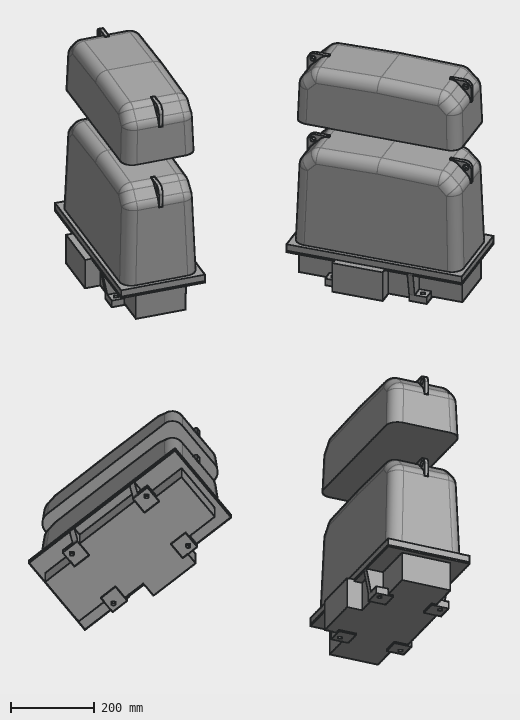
import cadquery as cq
import math

flange_length = 450.0
flange_depth = 215.0
foot_drop = 4.0
foot_top = 18.5
plate_bottom = 78.5
plate_top = 83.0
block_length = 420.0
block_depth = 127.5
middle_depth = 174.0
connector_left = -101.0
connector_length = 130.0
connector_reach = 18.5
foot_size = 45.0
foot_inner_x = 85.0
foot_outer_y = 95.5
foot_hole_diameter = 11.0
rib_thickness = 14.5

flange_top = 100.5
hood_half_length = 214.5
hood_half_depth = 97.0
end_taper = 1.85
side_taper = 2.0
ridge_height = 358.0
roof_slope = 1.4
bevel_inner_x = 169.5
edge_radius = 30.0
total_height = 580
upper_cover_lift = total_height - ridge_height
upper_cover_bottom = 209.5

lug_thickness = 10.0
lug_inner_x = 155.0
lug_outer_x = 210.5
lug_bottom = 301.0
lug_top = 355.5
lug_corner_radius = 20.0
lug_hole_x = 196.0
lug_hole_z = 341.0
lug_hole_diameter = 14.0


def box(x0, x1, y0, y1, z0, z1):
    """Box between two corners."""
    return cq.Workplane("XY").box(x1 - x0, y1 - y0, z1 - z0, centered=False).translate((x0, y0, z0))


def make_foot(side_x, side_y):
    """One foot with its bolt hole and the slanted rib that rises to the plate edge."""
    inner_y = foot_outer_y - foot_size
    foot = box(foot_inner_x, foot_inner_x + foot_size, inner_y, foot_outer_y, 0, foot_top)
    rib = (
        cq.Workplane("YZ", origin=(foot_inner_x, 0, 0))
        .polyline([
            (inner_y, foot_drop),
            (foot_outer_y, foot_drop),
            (foot_outer_y, foot_top),
            (flange_depth / 2, plate_bottom),
            (inner_y, plate_bottom),
        ])
        .close()
        .extrude(rib_thickness)
    )
    hole_x = foot_inner_x + (rib_thickness + foot_size) / 2
    hole_y = (block_depth / 2 + foot_outer_y) / 2
    hole = cq.Workplane("XY").center(hole_x, hole_y).circle(foot_hole_diameter / 2).extrude(foot_top)
    foot = foot.union(rib).cut(hole)
    if side_x < 0:
        foot = foot.mirror("YZ")
    if side_y < 0:
        foot = foot.mirror("XZ")
    return foot


def make_base():
    half_length = block_length / 2
    half_depth = block_depth / 2
    connector_front = -flange_depth / 2 - connector_reach
    base = box(-half_length, half_length, -half_depth, half_depth, foot_drop, plate_top)
    middle = box(
        -foot_inner_x, foot_inner_x, -middle_depth / 2, middle_depth / 2, foot_drop, plate_top
    )
    plate = box(
        -flange_length / 2, flange_length / 2, -flange_depth / 2, flange_depth / 2, plate_bottom, plate_top
    )
    connector = box(
        connector_left, connector_left + connector_length, connector_front, -half_depth, foot_drop, plate_top
    )
    base = base.union(middle).union(plate).union(connector)
    for side_x in (-1, 1):
        for side_y in (-1, 1):
            base = base.union(make_foot(side_x, side_y))
    return base


def hood_half_length_at(z):
    return hood_half_length - (z - flange_top) * math.tan(math.radians(end_taper))


def hood_half_depth_at(z):
    return hood_half_depth - (z - flange_top) * math.tan(math.radians(side_taper))


def make_lug():
    """Lifting lug at the +X end."""
    plate = (
        box(lug_inner_x, lug_outer_x, -lug_thickness / 2, lug_thickness / 2, lug_bottom, lug_top)
        .edges("|Y and >X and >Z")
        .fillet(lug_corner_radius)
    )
    hole = (
        cq.Workplane("XZ", origin=(lug_hole_x, 0, lug_hole_z))
        .circle(lug_hole_diameter / 2)
        .extrude(lug_thickness, both=True)
    )
    return plate.cut(hole)


def make_hood(bottom):
    """Rounded hood from the given height up to the ridge, with its two lugs.

    The +X half is built first and then mirrored, which leaves the ridge line sharp.
    """
    walls = (
        cq.Workplane("XY", origin=(0, 0, bottom))
        .rect(2 * hood_half_length_at(bottom), 2 * hood_half_depth_at(bottom))
        .workplane(offset=ridge_height - bottom)
        .rect(2 * hood_half_length_at(ridge_height), 2 * hood_half_depth_at(ridge_height))
        .loft(ruled=True)
    )
    eave_height = ridge_height - bevel_inner_x * math.tan(math.radians(roof_slope))
    bevel_end_z = eave_height - (hood_half_length - bevel_inner_x)
    profile = (
        cq.Workplane("XZ", origin=(0, hood_half_depth, 0))
        .polyline([
            (0, bottom),
            (hood_half_length, bottom),
            (hood_half_length, bevel_end_z),
            (bevel_inner_x, eave_height),
            (0, ridge_height),
        ])
        .close()
        .extrude(2 * hood_half_depth)
    )
    half = walls.intersect(profile)
    half = half.edges("not (<Z or <X)").fillet(edge_radius)
    half = half.union(make_lug())
    return half.union(half.mirror("YZ"))


def make_lower_cover():
    """Hood standing on a flange that rests on the base plate."""
    flange = box(
        -flange_length / 2, flange_length / 2, -flange_depth / 2, flange_depth / 2, plate_top, flange_top
    )
    return flange.union(make_hood(flange_top))


def make_upper_cover():
    """Shorter hood of the same shape, floating above the lower cover."""
    return make_hood(upper_cover_bottom).translate((0, 0, upper_cover_lift))


base = make_base()
lower_cover = make_lower_cover()
upper_cover = make_upper_cover()

result = cq.Compound.makeCompound([base.val(), lower_cover.val(), upper_cover.val()])